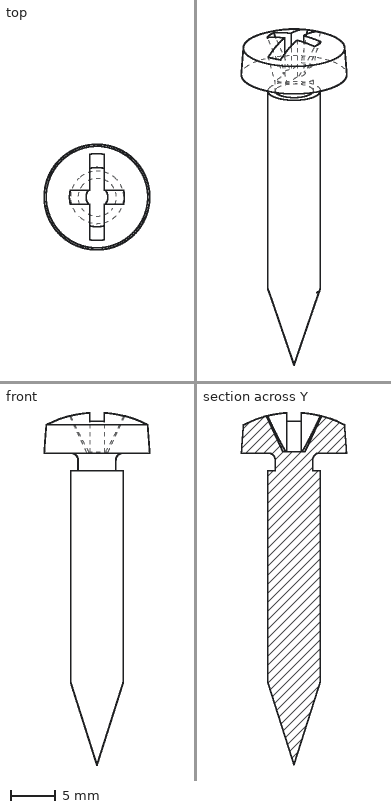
import cadquery as cq
import math

total_length = 39.95
point_length = 9.43
shank_radius = 3.0
shank_top = 33.4

neck_radius = 2.15
fillet_radius = 0.75

head_radius = 6.0
head_bottom = 35.35
rim_radius = 5.75
rim_height = 38.6

slot_width = 1.6
recess_floor = 35.55
long_slot_floor_radius = 3.35
long_slot_top_radius = 4.9
short_slot_floor_radius = 1.25
short_slot_top_radius = 3.1

corner_radius = slot_width / math.sqrt(2)
corner_rise = total_length - rim_height
dome_centre = (corner_radius**2 + total_length**2 - rim_radius**2 - rim_height**2) / (2 * corner_rise)
dome_radius = math.hypot(rim_radius, rim_height - dome_centre)
dome_top = dome_centre + dome_radius


def dome_height(radius):
    """Height of the dome surface at a distance from the axis."""
    return dome_centre + math.sqrt(dome_radius**2 - radius**2)


def screw_body():
    """Point, shank, neck and head revolved about the screw axis."""
    fillet_bottom = head_bottom - fillet_radius
    fillet_inset = fillet_radius * (1 - math.sqrt(0.5))
    fillet_mid = (neck_radius + fillet_inset, head_bottom - fillet_inset)
    mid_radius = rim_radius / 2
    profile = (
        cq.Workplane("XZ")
        .moveTo(0, 0)
        .lineTo(shank_radius, point_length)
        .lineTo(shank_radius, shank_top)
        .lineTo(neck_radius, shank_top)
        .lineTo(neck_radius, fillet_bottom)
        .threePointArc(fillet_mid, (neck_radius + fillet_radius, head_bottom))
        .lineTo(head_radius, head_bottom)
        .lineTo(rim_radius, rim_height)
        .threePointArc((mid_radius, dome_height(mid_radius)), (0, dome_top))
        .close()
    )
    return profile.revolve(360, (0, 0, 0), (0, 1, 0))


def recess_slot(floor_radius, surface_radius):
    """Slot along X, bounded by a cone that widens from the floor to the dome."""
    slope = (surface_radius - floor_radius) / (dome_height(surface_radius) - recess_floor)
    depth = dome_top - recess_floor
    top_radius = floor_radius + slope * depth
    cone = cq.Workplane(cq.Solid.makeCone(floor_radius, top_radius, depth, cq.Vector(0, 0, recess_floor)))
    slab = (
        cq.Workplane("XY")
        .workplane(offset=recess_floor)
        .rect(2 * top_radius, slot_width)
        .extrude(depth)
    )
    return cone.intersect(slab)


short_slot = recess_slot(short_slot_floor_radius, short_slot_top_radius)
long_slot = recess_slot(long_slot_floor_radius, long_slot_top_radius).rotate((0, 0, 0), (0, 0, 1), 90)

result = screw_body().cut(short_slot).cut(long_slot)